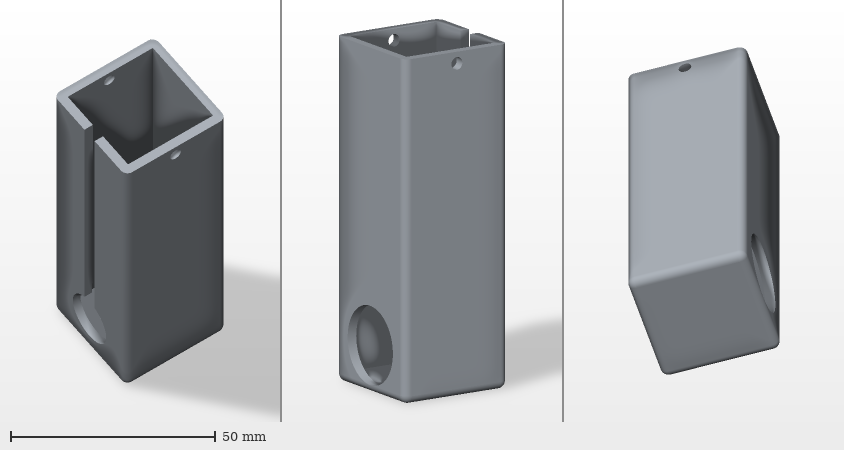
import cadquery as cq

width = 30.4
height = 87.0
edge_radius = 2.0

wall = 2.5
floor = 2.5
cavity_width = width - 2 * wall
ledge = 0.3
cavity_depth = cavity_width + ledge

chamber_top = 22.3

opening_height = 11.9
front_hole_diameter = 14.0
back_hole_diameter = 20.0
slot_width = 4.3

pin_diameter = 3.2
pin_drop = 3.0
pin_shift = 0.2


def cylinder_along_y(diameter, y_start, length):
    """Cylinder at the opening height, running from y_start toward +Y."""
    plane = cq.Plane(origin=(0, y_start, opening_height), xDir=(1, 0, 0), normal=(0, 1, 0))
    return cq.Workplane(plane).circle(diameter / 2).extrude(length)


def cavity_box(bottom, top, y_center):
    """Rectangular cavity section between two heights."""
    section = cq.Workplane("XY", origin=(0, y_center, bottom))
    return section.rect(cavity_width, cavity_depth).extrude(top - bottom)


body = cq.Workplane("XY").rect(width, width).extrude(height)
body = body.edges("|Z").fillet(edge_radius)
body = body.faces("<Z").edges().fillet(edge_radius)

upper_cavity = cavity_box(chamber_top, height, ledge / 2)
lower_chamber = cavity_box(floor, chamber_top, -ledge / 2)

front_hole = cylinder_along_y(front_hole_diameter, -width / 2, wall)
slot = (
    cq.Workplane("XY", origin=(0, (wall - width) / 2, opening_height))
    .rect(slot_width, wall)
    .extrude(height - opening_height)
)

back_hole = cylinder_along_y(back_hole_diameter, width / 2 - wall, wall)

pin_hole = (
    cq.Workplane("YZ", origin=(-width / 2, -pin_shift, height - pin_drop))
    .circle(pin_diameter / 2)
    .extrude(width)
)

result = body.cut(upper_cavity).cut(lower_chamber)
result = result.cut(front_hole).cut(slot).cut(back_hole).cut(pin_hole)